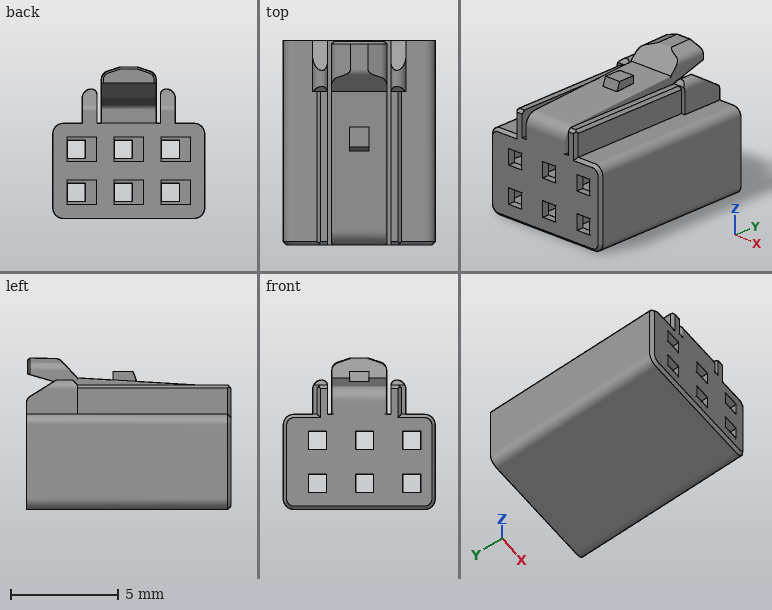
import cadquery as cq
import math


BODY_WIDTH = 7.1
BODY_LENGTH = 9.55
BODY_HEIGHT = 4.45
BODY_CORNER_RADIUS = 0.5
FRONT_CHAMFER = 0.16

RIB_INNER_X = 1.48
RIB_OUTER_X = 1.97
RIB_TOP_Z = 5.82
RIB_EDGE_CHAMFER = 0.15

REAR_RIB_OUTER_X = 2.18
REAR_RIB_TOP_Z = 6.05
REAR_RIB_FRONT_Y = 7.17
REAR_RIB_INNER_ROUND = 0.26
REAR_RIB_OUTER_ROUND = REAR_RIB_OUTER_X - RIB_INNER_X - REAR_RIB_INNER_ROUND
REAR_SLOPE_LOW_Z = 5.18
REAR_SLOPE_RUN = 1.4
REAR_SLOPE_ROUND = 0.3

LATCH_HALF_WIDTH = 1.285
BEAM_THICKNESS = 0.5
BEAM_FOOT_Y = REAR_RIB_FRONT_Y
BEAM_FOOT_Z = 6.15
BEAM_SLOPE = math.radians(3.4)
BEND_RADIUS = 0.7
BEAM_EDGE_RADIUS = 0.08
ROOT_OVERLAP = 0.2

HEAD_TOP_Z = 7.08
HEAD_END_Y = 9.49
HEAD_END_BOTTOM_Z = 6.32
HEAD_TILT = math.radians(1.15)
HEAD_FRONT_ANGLE = math.radians(46.5)
HEAD_FRONT_ROUND = 0.4
HEAD_END_CHAMFER = 0.1
CROWN_FLAT_HALF_WIDTH = 0.41
CROWN_SIDE_ANGLE = math.radians(18.5)
CROWN_SHOULDER_RADIUS = 0.4

NUB_WIDTH = 0.9
NUB_TOP_Z = 6.45
NUB_REAR_Y = 5.52
NUB_TOP_FRONT_Y = 4.57
NUB_FOOT_FRONT_Y = 4.4
NUB_SINK = 0.2

COLUMN_PITCH = 2.2
ROW_PITCH = 2.0
MOUTH_WIDTH = 0.82
MOUTH_HEIGHT = 0.84
MOUTH_DEPTH = 0.4
MOUTH_OFFSET_X = 0.25
CAVITY_WIDTH = 1.38
CAVITY_HEIGHT = 1.14


def box(x_range, y_range, z_range):
    """Axis-aligned block from its limits."""
    size = [high - low for low, high in (x_range, y_range, z_range)]
    return cq.Workplane("XY").box(*size, centered=False).translate((x_range[0], y_range[0], z_range[0]))


def side_extrusion(profile, half_width):
    """Extrude a closed (Y, Z) outline symmetrically about X = 0."""
    return profile.close().extrude(half_width, both=True)


def beam_top_z(y):
    """Height of the sloping top face of the latch beam."""
    return BEAM_FOOT_Z - (BEAM_FOOT_Y - y) * math.tan(BEAM_SLOPE)


def make_body():
    half_width = BODY_WIDTH / 2
    body = box((-half_width, half_width), (0, BODY_LENGTH), (0, BODY_HEIGHT))
    body = body.edges("|Y").fillet(BODY_CORNER_RADIUS)
    rib_end_y = REAR_RIB_FRONT_Y + ROOT_OVERLAP
    ribs = box((-RIB_OUTER_X, RIB_OUTER_X), (0, rib_end_y), (BODY_HEIGHT / 2, RIB_TOP_Z))
    body = body.union(ribs)
    body = body.faces("<Y").edges().chamfer(FRONT_CHAMFER)
    body = body.faces(">Z").edges("|Y").chamfer(RIB_EDGE_CHAMFER)
    channel = box((-RIB_INNER_X, RIB_INNER_X), (0, rib_end_y), (BODY_HEIGHT, RIB_TOP_Z))
    return body.cut(channel)


def make_rear_rib():
    """Rear end of the guard rib on the +X side."""
    rib = box(
        (RIB_INNER_X, REAR_RIB_OUTER_X),
        (REAR_RIB_FRONT_Y, BODY_LENGTH),
        (BODY_HEIGHT - ROOT_OVERLAP, REAR_RIB_TOP_Z),
    )
    ridge_x = RIB_INNER_X + REAR_RIB_INNER_ROUND
    diagonal = math.sqrt(0.5)
    inner_mid = (
        ridge_x - REAR_RIB_INNER_ROUND * diagonal,
        REAR_RIB_TOP_Z - REAR_RIB_INNER_ROUND * (1 - diagonal),
    )
    outer_mid = (
        ridge_x + REAR_RIB_OUTER_ROUND * diagonal,
        REAR_RIB_TOP_Z - REAR_RIB_OUTER_ROUND * (1 - diagonal),
    )
    rounded_section = (
        cq.Workplane("XZ")
        .moveTo(RIB_INNER_X, 0)
        .lineTo(RIB_INNER_X, REAR_RIB_TOP_Z - REAR_RIB_INNER_ROUND)
        .threePointArc(inner_mid, (ridge_x, REAR_RIB_TOP_Z))
        .threePointArc(outer_mid, (REAR_RIB_OUTER_X, REAR_RIB_TOP_Z - REAR_RIB_OUTER_ROUND))
        .lineTo(REAR_RIB_OUTER_X, 0)
        .close()
        .extrude(-BODY_LENGTH)
    )
    front_rise = REAR_RIB_TOP_Z - RIB_TOP_Z
    side_profile = (
        cq.Workplane("YZ")
        .moveTo(REAR_RIB_FRONT_Y, 0)
        .lineTo(REAR_RIB_FRONT_Y, RIB_TOP_Z)
        .lineTo(REAR_RIB_FRONT_Y + front_rise, REAR_RIB_TOP_Z)
        .lineTo(BODY_LENGTH - REAR_SLOPE_RUN, REAR_RIB_TOP_Z)
        .lineTo(BODY_LENGTH, REAR_SLOPE_LOW_Z)
        .lineTo(BODY_LENGTH, 0)
    )
    side_shape = side_extrusion(side_profile, BODY_WIDTH / 2)
    slope_corner = cq.selectors.NearestToPointSelector((0, BODY_LENGTH, REAR_SLOPE_LOW_Z))
    side_shape = side_shape.edges(slope_corner).fillet(REAR_SLOPE_ROUND)
    return rib.intersect(rounded_section).intersect(side_shape)


def make_beam():
    """Post rising from the body, bent back into a gently sloping beam."""
    root_z = BODY_HEIGHT - ROOT_OVERLAP
    bend_y = BEND_RADIUS * (1 - math.sin(BEAM_SLOPE))
    bend_z = beam_top_z(bend_y)
    centre_z = bend_z - BEND_RADIUS * math.cos(BEAM_SLOPE)
    inner_radius = BEND_RADIUS - BEAM_THICKNESS
    half_turn = (math.pi / 2 - BEAM_SLOPE) / 2

    def bend_point(radius, angle):
        """Point on the bend, angle measured up from the front tangent."""
        return (BEND_RADIUS - radius * math.cos(angle), centre_z + radius * math.sin(angle))

    underside_drop = BEAM_THICKNESS / math.cos(BEAM_SLOPE)
    profile = (
        cq.Workplane("YZ")
        .moveTo(0, root_z)
        .lineTo(0, centre_z)
        .threePointArc(bend_point(BEND_RADIUS, half_turn), (bend_y, bend_z))
        .lineTo(BEAM_FOOT_Y, BEAM_FOOT_Z)
        .lineTo(BEAM_FOOT_Y, BEAM_FOOT_Z - underside_drop)
        .lineTo(*bend_point(inner_radius, 2 * half_turn))
        .threePointArc(bend_point(inner_radius, half_turn), bend_point(inner_radius, 0))
        .lineTo(BEAM_THICKNESS, root_z)
    )
    beam = side_extrusion(profile, LATCH_HALF_WIDTH)
    inside = BEAM_THICKNESS / 2
    side_faces = beam.faces("<X or >X")
    front_zone = cq.selectors.BoxSelector(
        (-BODY_WIDTH, -inside, root_z),
        (BODY_WIDTH, inside, centre_z),
    )
    return side_faces.edges(front_zone).fillet(BEAM_EDGE_RADIUS)


def make_head():
    """Crowned finger pad at the free end of the beam."""
    tilt_rise = math.tan(HEAD_TILT)
    slope_rise = math.tan(HEAD_FRONT_ANGLE)
    top_at_foot = HEAD_TOP_Z - (HEAD_END_Y - BEAM_FOOT_Y) * tilt_rise
    corner_run = (top_at_foot - BEAM_FOOT_Z) / (slope_rise - tilt_rise)
    corner = (BEAM_FOOT_Y + corner_run, BEAM_FOOT_Z + corner_run * slope_rise)
    profile = (
        cq.Workplane("YZ")
        .moveTo(BEAM_FOOT_Y, BEAM_FOOT_Z)
        .lineTo(*corner)
        .lineTo(HEAD_END_Y, HEAD_TOP_Z)
        .lineTo(HEAD_END_Y, HEAD_END_BOTTOM_Z)
        .lineTo(BEAM_FOOT_Y, BEAM_FOOT_Z - BEAM_THICKNESS / math.cos(BEAM_SLOPE))
    )
    head = side_extrusion(profile, LATCH_HALF_WIDTH)
    front_corner = cq.selectors.NearestToPointSelector((0, *corner))
    head = head.edges(front_corner).fillet(HEAD_FRONT_ROUND)

    turn = math.pi / 2 - CROWN_SIDE_ANGLE
    shoulder_x = LATCH_HALF_WIDTH - CROWN_SHOULDER_RADIUS
    tangent_x = shoulder_x + CROWN_SHOULDER_RADIUS * math.cos(turn)
    tangent_z = -(tangent_x - CROWN_FLAT_HALF_WIDTH) * math.tan(CROWN_SIDE_ANGLE)
    centre_z = tangent_z - CROWN_SHOULDER_RADIUS * math.sin(turn)
    mid_x = shoulder_x + CROWN_SHOULDER_RADIUS * math.cos(turn / 2)
    mid_z = centre_z + CROWN_SHOULDER_RADIUS * math.sin(turn / 2)
    tilted_plane = cq.Plane(
        origin=(0, HEAD_END_Y, HEAD_TOP_Z),
        xDir=(1, 0, 0),
        normal=(0, -math.cos(HEAD_TILT), -math.sin(HEAD_TILT)),
    )
    crown_depth = 2 * HEAD_TOP_Z
    crown = (
        cq.Workplane(tilted_plane)
        .moveTo(-CROWN_FLAT_HALF_WIDTH, 0)
        .lineTo(CROWN_FLAT_HALF_WIDTH, 0)
        .lineTo(tangent_x, tangent_z)
        .threePointArc((mid_x, mid_z), (LATCH_HALF_WIDTH, centre_z))
        .lineTo(LATCH_HALF_WIDTH, -crown_depth)
        .lineTo(-LATCH_HALF_WIDTH, -crown_depth)
        .lineTo(-LATCH_HALF_WIDTH, centre_z)
        .threePointArc((-mid_x, mid_z), (-tangent_x, tangent_z))
        .close()
        .extrude(BODY_LENGTH, both=True)
    )
    head = head.intersect(crown)
    end_edges = head.faces(">Y").edges("not <Z")
    return end_edges.chamfer(HEAD_END_CHAMFER)


def make_nub():
    """Wedge-fronted locking nub on top of the beam."""
    front_foot_z = beam_top_z(NUB_FOOT_FRONT_Y)
    profile = (
        cq.Workplane("YZ")
        .moveTo(NUB_FOOT_FRONT_Y, front_foot_z - NUB_SINK)
        .lineTo(NUB_FOOT_FRONT_Y, front_foot_z)
        .lineTo(NUB_TOP_FRONT_Y, NUB_TOP_Z)
        .lineTo(NUB_REAR_Y, NUB_TOP_Z)
        .lineTo(NUB_REAR_Y, front_foot_z - NUB_SINK)
    )
    return side_extrusion(profile, NUB_WIDTH / 2)


def make_contact_openings():
    openings = cq.Workplane("XY")
    for column in (-1, 0, 1):
        for row in (-0.5, 0.5):
            cavity_x = column * COLUMN_PITCH
            mouth_x = cavity_x + MOUTH_OFFSET_X
            z = BODY_HEIGHT / 2 + row * ROW_PITCH
            mouth = box(
                (mouth_x - MOUTH_WIDTH / 2, mouth_x + MOUTH_WIDTH / 2),
                (0, BODY_LENGTH),
                (z - MOUTH_HEIGHT / 2, z + MOUTH_HEIGHT / 2),
            )
            cavity = box(
                (cavity_x - CAVITY_WIDTH / 2, cavity_x + CAVITY_WIDTH / 2),
                (MOUTH_DEPTH, BODY_LENGTH),
                (z - CAVITY_HEIGHT / 2, z + CAVITY_HEIGHT / 2),
            )
            openings = openings.add(mouth.union(cavity))
    return openings.combine()


body = make_body()
rear_rib = make_rear_rib()
body = body.union(rear_rib).union(rear_rib.mirror("YZ"))
latch = make_beam().union(make_head()).union(make_nub())
result = body.union(latch).cut(make_contact_openings())